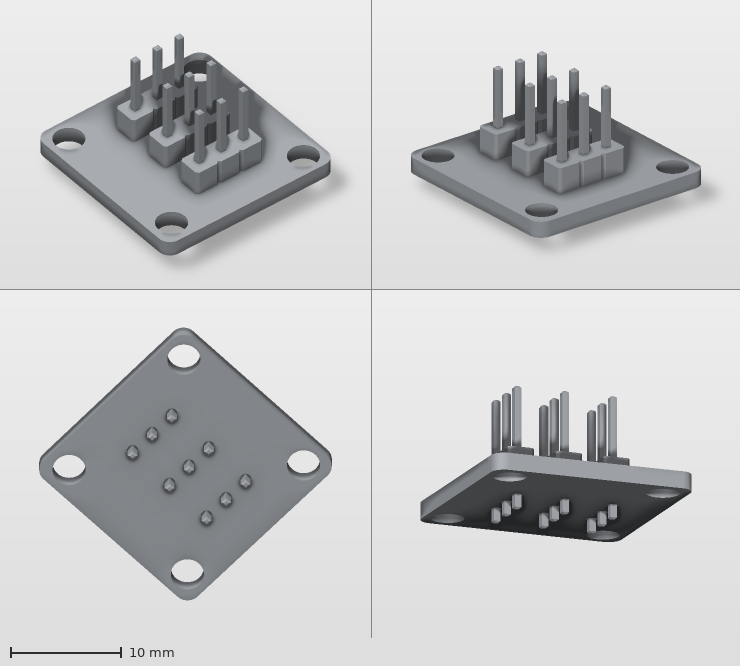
import cadquery as cq

board_width = 19.48
board_depth = 19.47
board_thickness = 1.6
corner_radius = 1.29
front_right_radius = 1.25
left_taper = 0.05
right_taper = 0.04
front_skew = 0.06
front_flat_length = 0.14
mounting_hole_diameter = 3.0
mounting_hole_centers = [(-7.49, 7.63), (7.61, 7.63), (-7.49, -7.47), (7.41, -7.47)]
pin_hole_diameter = 1.0

header_count = 3
header_spacing = 4.66
header_offset_x = 0.01
header_offset_y = 0.495
pins_per_header = 3
pin_pitch = 2.54
housing_height = 2.54
housing_chamfer = 0.25
housing_gap = 0.05
pin_size = 0.64
pin_length = 11.54
pin_above_housing = 6.0
pin_tip_chamfer = 0.16

housing_bottom = board_thickness + housing_gap
pin_bottom = housing_bottom + housing_height + pin_above_housing - pin_length
header_xs = [header_offset_x + (i - (header_count - 1) / 2) * header_spacing for i in range(header_count)]
pin_offsets = [(i - (pins_per_header - 1) / 2) * pin_pitch for i in range(pins_per_header)]


def make_board():
    """Slightly skewed rounded plate with mounting holes and pin holes."""
    back_right_x = board_width / 2
    back_left_x = -back_right_x
    front_right_x = back_right_x - right_taper
    front_left_x = back_left_x + left_taper
    back_y = board_depth / 2
    front_right_y = -back_y
    front_left_y = front_right_y + front_skew
    front_edge_end_x = front_right_x - front_right_radius
    plate = (
        cq.Workplane("XY")
        .moveTo(back_left_x + corner_radius, back_y)
        .lineTo(back_right_x - corner_radius, back_y)
        .radiusArc((back_right_x, back_y - corner_radius), corner_radius)
        .lineTo(front_right_x, front_right_y + front_right_radius)
        .radiusArc((front_edge_end_x + front_flat_length, front_right_y), front_right_radius)
        .lineTo(front_edge_end_x, front_right_y)
        .lineTo(front_left_x + corner_radius, front_left_y)
        .radiusArc((front_left_x, front_left_y + corner_radius), corner_radius)
        .lineTo(back_left_x, back_y - corner_radius)
        .radiusArc((back_left_x + corner_radius, back_y), corner_radius)
        .close()
        .extrude(board_thickness)
    )
    mounting_holes = (
        cq.Workplane("XY")
        .pushPoints(mounting_hole_centers)
        .circle(mounting_hole_diameter / 2)
        .extrude(board_thickness)
    )
    pin_holes = (
        cq.Workplane("XY")
        .pushPoints([(x, header_offset_y + y) for x in header_xs for y in pin_offsets])
        .circle(pin_hole_diameter / 2)
        .extrude(board_thickness)
    )
    return plate.cut(mounting_holes).cut(pin_holes)


def make_header(center_x):
    """One row of chamfered housing cells with a square pin through each cell."""
    header = cq.Workplane("XY")
    for offset in pin_offsets:
        center_y = header_offset_y + offset
        cell = (
            cq.Workplane("XY", origin=(center_x, center_y, housing_bottom))
            .rect(pin_pitch, pin_pitch)
            .extrude(housing_height)
            .edges("|Z")
            .chamfer(housing_chamfer)
        )
        pin = (
            cq.Workplane("XY", origin=(center_x, center_y, pin_bottom))
            .rect(pin_size, pin_size)
            .extrude(pin_length)
            .faces("<Z or >Z")
            .chamfer(pin_tip_chamfer)
        )
        header = header.union(cell).union(pin)
    return header.clean()


board = make_board()
headers = [make_header(x) for x in header_xs]

result = cq.Compound.makeCompound([board.val(), *[header.val() for header in headers]])